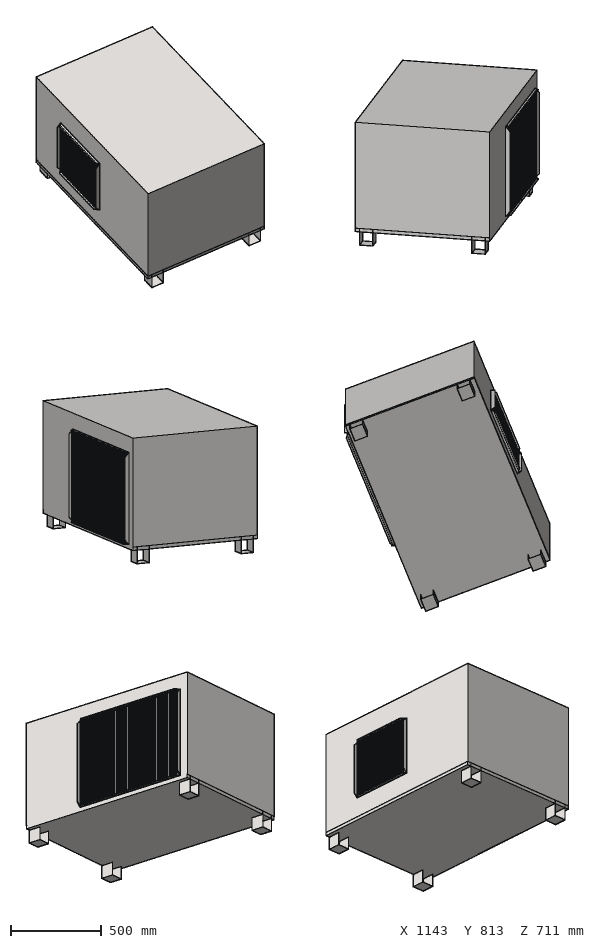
import cadquery as cq

cabinet_length = 1143.0
cabinet_depth = 764.0
overall_height = 711.0
pan_height = 21.0
pan_step = 1.0
pan_end_setback = 1.0

foot_size = 77.0
foot_wall = 1.7
foot_inset = 25.0

grille_depth = 25.0
flange_thickness = 3.0
bar_width = 3.0
bar_depth = 2.0
bar_standoff = 13.0
bar_target_pitch = 12.8

front_grille_left = 251.0
front_grille_bottom = 215.0
front_grille_width = 400.0
front_grille_height = 346.0

rear_grille_left = 49.0
rear_grille_bottom = 102.0
rear_grille_width = 712.0
rear_grille_height = 520.0

grille_overlap = 1.0


def box_at(corner, size):
    """Box with its corner of least X, Y and Z at the given point."""
    return cq.Workplane("XY").box(*size, centered=False).translate(corner)


def make_cabinet():
    """Base pan with its front at Y = 0 and the box above it set back by the pan step."""
    pan = box_at(
        (pan_end_setback, 0, foot_size),
        (cabinet_length - 2 * pan_end_setback, cabinet_depth, pan_height),
    )
    body_bottom = foot_size + pan_height
    body = box_at(
        (0, pan_step, body_bottom),
        (cabinet_length, cabinet_depth - pan_step, overall_height - body_bottom),
    )
    return pan.union(body)


def make_foot(x, y):
    """U-channel with its corner of least X and Y at (x, y), standing on Z = 0."""
    wall_height = foot_size + pan_height
    outer = box_at((x, y, 0), (foot_size, foot_size, wall_height))
    channel = box_at(
        (x, y + foot_wall, foot_wall),
        (foot_size, foot_size - 2 * foot_wall, wall_height - foot_wall),
    )
    return outer.cut(channel)


def flange_outline(plane, length):
    """Trapezoid along the mounting face, reaching out to the grille front, with 45 degree ends."""
    return (
        cq.Workplane(plane)
        .moveTo(0, -grille_overlap)
        .lineTo(length, -grille_overlap)
        .lineTo(length, 0)
        .lineTo(length - grille_depth, grille_depth)
        .lineTo(grille_depth, grille_depth)
        .lineTo(0, 0)
        .close()
    )


def make_grille(width, height):
    """Grille standing out along +Y from Y = 0, with its lower left corner at the origin."""
    level_flange = flange_outline("XY", width).extrude(flange_thickness)
    upright_flange = flange_outline("ZY", height).extrude(-flange_thickness)
    grille = (
        level_flange.union(level_flange.translate((0, 0, height - flange_thickness)))
        .union(upright_flange)
        .union(upright_flange.translate((width - flange_thickness, 0, 0)))
    )

    spaces = round(width / bar_target_pitch)
    pitch = (width - flange_thickness) / spaces
    bar_height = height - 2 * flange_thickness
    bar = cq.Workplane("XY").box(bar_width, bar_depth, bar_height, centered=(True, False, False))
    for index in range(1, spaces):
        bar_x = flange_thickness / 2 + index * pitch
        grille = grille.add(bar.translate((bar_x, bar_standoff, flange_thickness)))
    return grille.combine()


front_grille = (
    make_grille(front_grille_width, front_grille_height)
    .mirror("XZ")
    .translate((front_grille_left, pan_step, front_grille_bottom))
)
rear_grille = make_grille(rear_grille_width, rear_grille_height).translate(
    (rear_grille_left, cabinet_depth, rear_grille_bottom)
)

result = make_cabinet().union(front_grille).union(rear_grille)
for foot_x in (0, cabinet_length - foot_size):
    for foot_y in (foot_inset, cabinet_depth - foot_inset - foot_size):
        result = result.union(make_foot(foot_x, foot_y))